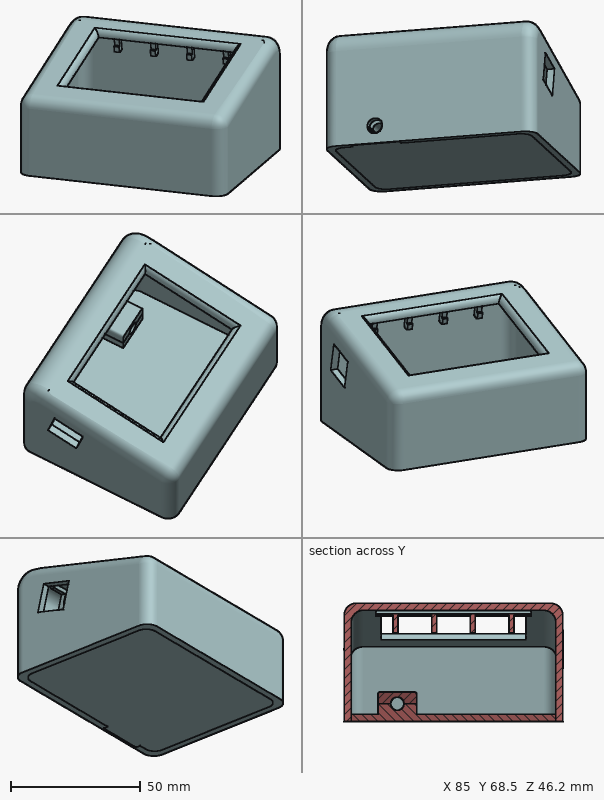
import cadquery as cq
import math

LENGTH = 85.0
DEPTH = 68.5
HEIGHT = 46.15
LID_TILT = 14.0
SIDE_TILT = 14.2
SIDE_PIVOT_Y = -26.8
BLEND_FRONT_Y = 22.1
BLEND_BACK_Y = 23.8
BACK_RADIUS = 8.0
EDGE_RADIUS = 5.0

WALL = 3.0
LID_THICKNESS = 3.0
INNER_BACK_RADIUS = BACK_RADIUS - LID_THICKNESS
INNER_RADIUS = 4.5
BASE_THICKNESS = 3.0

CLEARANCE = 0.85
WINDOW_LENGTH = 60.1
WINDOW_WIDTH = 44.0
WINDOW_Y = -1.6
WINDOW_INSET = 2.0
RAIL_GAP = 2.55
RAIL_DROP = 4.8
RAIL_WIDTH = 2.0
CLIP_COUNT = 4
CLIP_PITCH = 15.0
CLIP_WIDTH = 2.0
CLIP_LEDGE_DROP = 8.7
CLIP_HOOK = 1.0
CLIP_FACE_HEIGHT = 2.0
CLIP_NOSE = 0.7

PORT_WIDTH = 13.0
PORT_HEIGHT = 12.0
PORT_Y = 13.7
PORT_Z = 28.1

CLAMP_X = 21.8
CLAMP_WIDTH = 15.1
SADDLE_HEIGHT = 4.0
SADDLE_REACH = 11.0
CAP_HEIGHT = 4.6
CAP_DEPTH = 8.0
CAP_RADIUS = 1.0
CABLE_DIAMETER = 5.0
WALL_HOLE_DIAMETER = 6.0
NOTCH_FLARE = 2.3
NOTCH_DEPTH = 2.0

HALF_DEPTH = DEPTH / 2
INNER_BACK_Y = HALF_DEPTH - WALL
CLAMP_FRONT_Y = INNER_BACK_Y - SADDLE_REACH
SPLIT_Z = BASE_THICKNESS + SADDLE_HEIGHT
RAIL_Y = WINDOW_WIDTH / 2 + RAIL_GAP
RAIL_ROOT = LID_THICKNESS / 2


def lid_z(y):
    """Height of the flat lid at depth position y; the lid is tangent to the back round."""
    tilt = math.radians(LID_TILT)
    axis_y = HALF_DEPTH - BACK_RADIUS
    axis_z = HEIGHT - BACK_RADIUS
    return axis_z + BACK_RADIUS / math.cos(tilt) + (y - axis_y) * math.tan(tilt)


def side_z(y):
    """Height of the steeper slope that the rounded side edges follow."""
    return lid_z(SIDE_PIVOT_Y) + (y - SIDE_PIVOT_Y) * math.tan(math.radians(SIDE_TILT))


def wedge(inset, top_points, back_radius):
    """Block under the given top line, with a rounded top back edge, set in from the case walls."""
    reach = HALF_DEPTH - inset
    outline = [(-reach, 0), (reach, 0)] + top_points
    block = cq.Workplane("YZ").polyline(outline).close().extrude(LENGTH / 2 - inset, both=True)
    return block.faces(">Y").edges(">Z").fillet(back_radius)


def straight_top(inset, drop):
    """Back and front ends of a line that runs parallel to the lid."""
    reach = HALF_DEPTH - inset
    return [(reach, lid_z(reach) - drop), (-reach, lid_z(-reach) - drop)]


def case_shape():
    """Outer case: edges rounded along the steeper slope, then trimmed to the flat lid."""
    top_points = [
        (HALF_DEPTH, lid_z(HALF_DEPTH)),
        (BLEND_BACK_Y, lid_z(BLEND_BACK_Y)),
        (BLEND_FRONT_Y, side_z(BLEND_FRONT_Y)),
        (-HALF_DEPTH, side_z(-HALF_DEPTH)),
    ]
    rounded = wedge(0, top_points, BACK_RADIUS)
    outer_edges = rounded.faces("<X or >X or <Y").edges()
    outer_edges = outer_edges.filter(lambda e: e.Center().z > 0.85)
    rounded = outer_edges.fillet(EDGE_RADIUS)
    return rounded.intersect(wedge(0, straight_top(0, 0), BACK_RADIUS))


def cavity():
    """Inside of the case, open at the bottom."""
    ceiling_drop = LID_THICKNESS / math.cos(math.radians(LID_TILT))
    inside = wedge(WALL, straight_top(WALL, ceiling_drop), INNER_BACK_RADIUS)
    return inside.edges("|Z").fillet(INNER_RADIUS)


def lid_plane():
    """Plane on the lid at the window centre: local y runs up the slope, local z points outwards."""
    tilt = math.radians(LID_TILT)
    return cq.Plane(
        origin=(0, WINDOW_Y, lid_z(WINDOW_Y)),
        xDir=(1, 0, 0),
        normal=(0, -math.sin(tilt), math.cos(tilt)),
    )


def flared_slot(width, plane):
    """Long slot through the lid whose sides curve inwards to stand square at the lid underside."""
    top = width / 2
    throat = top - WINDOW_INSET
    radius = (LID_THICKNESS**2 + WINDOW_INSET**2) / (2 * WINDOW_INSET)
    return (
        cq.Workplane(plane)
        .moveTo(-top, CLEARANCE)
        .lineTo(-top, 0)
        .radiusArc((-throat, -LID_THICKNESS), radius)
        .lineTo(throat, -LID_THICKNESS)
        .radiusArc((top, 0), radius)
        .lineTo(top, CLEARANCE)
        .close()
        .extrude(LENGTH, both=True)
    )


def window():
    """Window cutter: two crossing flared slots leave mitred corners."""
    opening = flared_slot(WINDOW_LENGTH, "XZ").intersect(flared_slot(WINDOW_WIDTH, "YZ"))
    return cq.Workplane(opening.val().moved(lid_plane().location))


def clip(x):
    """Snap clip hanging from the lid, with its hook towards the window."""
    hook_y = RAIL_Y - CLIP_HOOK
    back_y = RAIL_Y + RAIL_WIDTH
    tip = CLIP_LEDGE_DROP + CLIP_FACE_HEIGHT + CLIP_NOSE
    return (
        cq.Workplane("YZ", origin=(x, 0, 0))
        .moveTo(RAIL_Y, -RAIL_ROOT)
        .lineTo(RAIL_Y, -CLIP_LEDGE_DROP)
        .lineTo(hook_y, -CLIP_LEDGE_DROP)
        .line(0, -CLIP_FACE_HEIGHT)
        .radiusArc((hook_y + CLIP_NOSE, -tip), -CLIP_NOSE)
        .lineTo(back_y, -tip)
        .lineTo(back_y, -RAIL_ROOT)
        .close()
        .extrude(CLIP_WIDTH / 2, both=True)
    )


def rail_and_clips():
    """Rail under the lid behind the window, with a row of clips flush with its front."""
    rail = cq.Workplane("XY", origin=(0, RAIL_Y, -RAIL_DROP)).box(
        WINDOW_LENGTH, RAIL_WIDTH, RAIL_DROP - RAIL_ROOT, centered=(True, False, False)
    )
    for i in range(CLIP_COUNT):
        rail = rail.union(clip((i - (CLIP_COUNT - 1) / 2) * CLIP_PITCH))
    return cq.Workplane(rail.val().moved(lid_plane().location))


def port():
    """Opening through the -X wall, square to the lid."""
    return (
        cq.Workplane("XY")
        .box(2 * EDGE_RADIUS, PORT_WIDTH, PORT_HEIGHT)
        .rotate((0, 0, 0), (1, 0, 0), LID_TILT)
        .translate((-LENGTH / 2, PORT_Y, PORT_Z))
    )


def tongue():
    """Notch shape in the back wall: straight beside the base, then narrowing to the saddle width."""
    top = CLAMP_WIDTH / 2
    foot = top + NOTCH_FLARE
    outline = [
        (-foot, 0),
        (foot, 0),
        (foot, BASE_THICKNESS),
        (top, SPLIT_Z),
        (-top, SPLIT_Z),
        (-foot, BASE_THICKNESS),
    ]
    return (
        cq.Workplane("XZ", origin=(CLAMP_X, INNER_BACK_Y + NOTCH_DEPTH, 0))
        .polyline(outline)
        .close()
        .extrude(NOTCH_DEPTH + INNER_RADIUS)
    )


def cable_bore(diameter):
    """Cylinder along the cable, from the clamp front out through the back wall."""
    return (
        cq.Workplane("XZ", origin=(CLAMP_X, CLAMP_FRONT_Y, SPLIT_Z))
        .circle(diameter / 2)
        .extrude(-DEPTH)
    )


def make_housing():
    body = case_shape().cut(cavity())
    body = body.cut(window())
    body = body.union(rail_and_clips())
    body = body.cut(port())
    body = body.cut(tongue())
    return body.cut(cable_bore(WALL_HOLE_DIAMETER))


def make_base():
    """Floor plate with its tongue in the back wall and the lower half of the cable clamp."""
    slab = cq.Workplane("XY").box(LENGTH, DEPTH, BASE_THICKNESS, centered=(True, True, False))
    base = cavity().intersect(slab).union(tongue().intersect(slab))
    saddle = cq.Workplane("XY", origin=(CLAMP_X, CLAMP_FRONT_Y, 0)).box(
        CLAMP_WIDTH, SADDLE_REACH + NOTCH_DEPTH, SPLIT_Z, centered=(True, False, False)
    )
    return base.union(saddle).cut(cable_bore(CABLE_DIAMETER))


def make_cap():
    """Upper half of the cable clamp."""
    cap = cq.Workplane("XY", origin=(CLAMP_X, CLAMP_FRONT_Y, SPLIT_Z)).box(
        CLAMP_WIDTH, CAP_DEPTH, CAP_HEIGHT, centered=(True, False, False)
    )
    cap = cap.edges("|Y and >Z").fillet(CAP_RADIUS)
    return cap.cut(cable_bore(CABLE_DIAMETER))


housing = make_housing()
base = make_base()
cap = make_cap()
result = cq.Compound.makeCompound([housing.val(), base.val(), cap.val()])